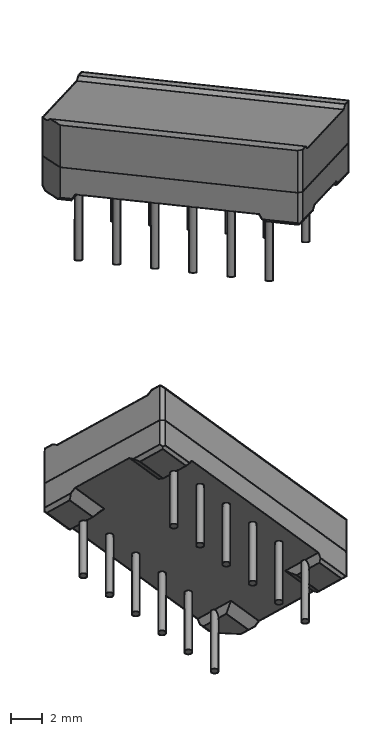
import cadquery as cq

LENGTH = 17.78
WIDTH = 10.16
HEIGHT = 5.08
OVERALL_HEIGHT = 9.4
BASE_HEIGHT = 2.24
COVER_HEIGHT = HEIGHT - BASE_HEIGHT

INDEX_CORNER = 1.71
CORNER_CHAMFER = 0.25
END_CHAMFER = 0.25
SIDE_CHAMFER = 0.2

WINDOW_DEPTH = 0.25
WINDOW_FLOOR_WIDTH = 7.62
WINDOW_MOUTH_WIDTH = 8.3

STANDOFF = 0.51
ALONG_Y_CENTER = -0.05
ALONG_Y_ROOF_WIDTH = 12.24
ALONG_Y_MOUTH_WIDTH = 12.9
ALONG_X_ROOF_WIDTH = 4.57
ALONG_X_MOUTH_WIDTH = 5.91

PIN_DIAMETER = 0.51
PIN_PITCH = 2.54
PINS_PER_ROW = 6
ROW_SPACING = 7.62
PIN_LENGTH = OVERALL_HEIGHT - HEIGHT + STANDOFF


def package_outline(bottom, height):
    """Prism with a large index corner at -X -Y and small chamfers on the +X corners."""
    block = cq.Workplane("XY").workplane(offset=bottom).rect(LENGTH, WIDTH).extrude(height)
    block = block.edges("|Z and >X").chamfer(CORNER_CHAMFER)
    return block.edges("|Z and <X and <Y").chamfer(INDEX_CORNER)


def channel(plane, z_floor, floor_width, z_mouth, mouth_width, run):
    """Trapezoidal channel, centred on the package, `run` long."""
    profile = [
        (-floor_width / 2, z_floor),
        (floor_width / 2, z_floor),
        (mouth_width / 2, z_mouth),
        (-mouth_width / 2, z_mouth),
    ]
    return cq.Workplane(plane).polyline(profile).close().extrude(run / 2, both=True)


def make_cover():
    """Upper body: a channelled top face and a chamfer along its +Y top edge."""
    cover = package_outline(BASE_HEIGHT, COVER_HEIGHT)
    cover = cover.faces(">Z").edges(">Y").chamfer(SIDE_CHAMFER)
    window = channel("YZ", HEIGHT - WINDOW_DEPTH, WINDOW_FLOOR_WIDTH, HEIGHT, WINDOW_MOUTH_WIDTH, LENGTH)
    return cover.cut(window)


def chamfered_profile(plane, run_edges, width, chamfer, run):
    """Prism of the base's height with its two lower long edges chamfered, `run` long."""
    profile = cq.Workplane(plane).center(0, BASE_HEIGHT / 2).rect(width, BASE_HEIGHT)
    return profile.extrude(run / 2, both=True).faces("<Z").edges(run_edges).chamfer(chamfer)


def make_base():
    """Lower body: four feet with chamfered outer edges, and two rows of pins."""
    end_profile = chamfered_profile("XZ", "|Y", LENGTH, END_CHAMFER, WIDTH)
    side_profile = chamfered_profile("YZ", "|X", WIDTH, SIDE_CHAMFER, LENGTH)
    base = package_outline(0, BASE_HEIGHT).intersect(end_profile).intersect(side_profile)

    along_y = channel("XZ", STANDOFF, ALONG_Y_ROOF_WIDTH, 0, ALONG_Y_MOUTH_WIDTH, WIDTH)
    base = base.cut(along_y.translate((ALONG_Y_CENTER, 0, 0)))
    base = base.cut(channel("YZ", STANDOFF, ALONG_X_ROOF_WIDTH, 0, ALONG_X_MOUTH_WIDTH, LENGTH))

    pins = (
        cq.Workplane("XY")
        .workplane(offset=STANDOFF)
        .rarray(PIN_PITCH, ROW_SPACING, PINS_PER_ROW, 2)
        .circle(PIN_DIAMETER / 2)
        .extrude(-PIN_LENGTH)
    )
    return base.union(pins)


cover = make_cover()
base = make_base()
result = cq.Compound.makeCompound([cover.solids().val(), base.solids().val()])